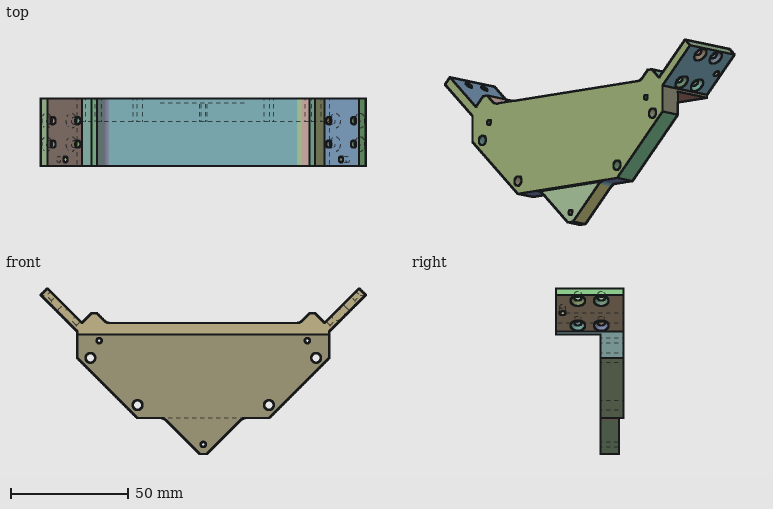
import cadquery as cq
import math


depth = 29.0
half_length = 69.3
arm_tip_z = 19.7
arm_thickness = 4.0
shelf_thickness = 5.0
shelf_half_width = 53.8
ridge_height = 4.2
ridge_top_width = 2.2
foot_radius = 3.0

plate_thickness = 10.0
plate_side_height = 10.0
plate_bottom_z = -35.6
tongue_thickness = 8.0
tongue_bottom_z = -51.0
tongue_tip_half_width = 1.5

large_hole_diameter = 4.0
small_hole_diameter = 2.1
large_hole_centres = [(-48.1, -10.0), (-28.0, -30.1)]
small_hole_centre = (-44.3, -2.6)
tongue_hole_z = -46.8

screw_diameter = 3.0
countersink_diameter = 6.2
countersink_angle = 90
screw_first_row = 3.5
screw_row_spacing = 15.0
screw_front_inset = 9.4
screw_column_spacing = 10.0
pin_diameter = 2.5
pin_front_inset = 2.9

arm_leg = arm_thickness / math.sqrt(2)
arm_foot_x = -half_length + arm_leg + arm_tip_z - shelf_thickness
arm_under_z = arm_tip_z - arm_leg - (half_length - shelf_half_width)
ridge_top_x = arm_foot_x + ridge_height
ridge_foot_x = ridge_top_x + ridge_top_width + ridge_height
plate_corner_x = -shelf_half_width - plate_side_height - plate_bottom_z
tongue_root_x = -tongue_tip_half_width - (plate_bottom_z - tongue_bottom_z)


def extrude_from_back(points, thickness):
    """Extrude an XZ outline forward from the back face."""
    return cq.Workplane("XZ").polyline(points).close().extrude(thickness)


def blend_corner(body, x, z, thickness):
    """Round the inside corner that runs along Y through (x, z)."""
    corner = cq.selectors.NearestToPointSelector((x, -thickness / 2, z))
    return body.edges("|Y").edges(corner).fillet(foot_radius)


def make_shelf():
    """Half of the shelf, with one ridge and one arm."""
    outline = [
        (0, 0),
        (-shelf_half_width, 0),
        (-shelf_half_width, arm_under_z),
        (-half_length, arm_tip_z - arm_leg),
        (-half_length + arm_leg, arm_tip_z),
        (arm_foot_x, shelf_thickness),
        (ridge_top_x, shelf_thickness + ridge_height),
        (ridge_top_x + ridge_top_width, shelf_thickness + ridge_height),
        (ridge_foot_x, shelf_thickness),
        (0, shelf_thickness),
    ]
    shelf = extrude_from_back(outline, depth)
    return blend_corner(shelf, ridge_foot_x, shelf_thickness, depth)


def drill_arm(shelf):
    """Screw holes countersunk from the underside of the arm, and one pin hole."""
    underside = cq.Plane(
        origin=(-half_length, -depth, arm_tip_z - arm_leg),
        xDir=(0, 1, 0),
        normal=(-1, 0, -1),
    )
    screw_centres = [
        (screw_front_inset + column * screw_column_spacing, screw_first_row + row * screw_row_spacing)
        for column in range(2)
        for row in range(2)
    ]
    pin_centre = (pin_front_inset, screw_first_row + screw_row_spacing / 2)
    pin = cq.Workplane(underside).center(*pin_centre).circle(pin_diameter / 2).extrude(-arm_thickness)
    shank = cq.Workplane(underside).pushPoints(screw_centres).circle(screw_diameter / 2).extrude(-arm_thickness)
    countersink_depth = (
        (countersink_diameter - screw_diameter) / 2 / math.tan(math.radians(countersink_angle / 2))
    )
    shelf = shelf.cut(pin).cut(shank)
    for centre in screw_centres:
        cone = cq.Solid.makeCone(
            countersink_diameter / 2,
            screw_diameter / 2,
            countersink_depth,
            pnt=underside.toWorldCoords(centre),
            dir=-underside.zDir,
        )
        shelf = shelf.cut(cq.Workplane(cone))
    return shelf


def make_plate():
    """Half of the hanging plate; its tongue is stepped in from the back face."""
    outline = [
        (0, 0),
        (-shelf_half_width, 0),
        (-shelf_half_width, -plate_side_height),
        (plate_corner_x, plate_bottom_z),
        (tongue_root_x, plate_bottom_z),
        (-tongue_tip_half_width, tongue_bottom_z),
        (0, tongue_bottom_z),
    ]
    plate = extrude_from_back(outline, plate_thickness)
    plate = blend_corner(plate, tongue_root_x, plate_bottom_z, plate_thickness)
    step_height = plate_bottom_z - tongue_bottom_z
    step = cq.Workplane("XY").box(
        half_length, plate_thickness - tongue_thickness, step_height, centered=False
    ).translate((-half_length, -(plate_thickness - tongue_thickness), tongue_bottom_z))
    return plate.cut(step)


def plate_holes(centres, diameter):
    """Cylinders through the plate at the given (x, z) centres."""
    return cq.Workplane("XZ").pushPoints(centres).circle(diameter / 2).extrude(plate_thickness)


half = drill_arm(make_shelf()).union(make_plate())
half = half.cut(plate_holes(large_hole_centres, large_hole_diameter))
half = half.cut(plate_holes([small_hole_centre], small_hole_diameter))

result = half.union(half.mirror("YZ")).clean()
result = result.cut(plate_holes([(0, tongue_hole_z)], small_hole_diameter))